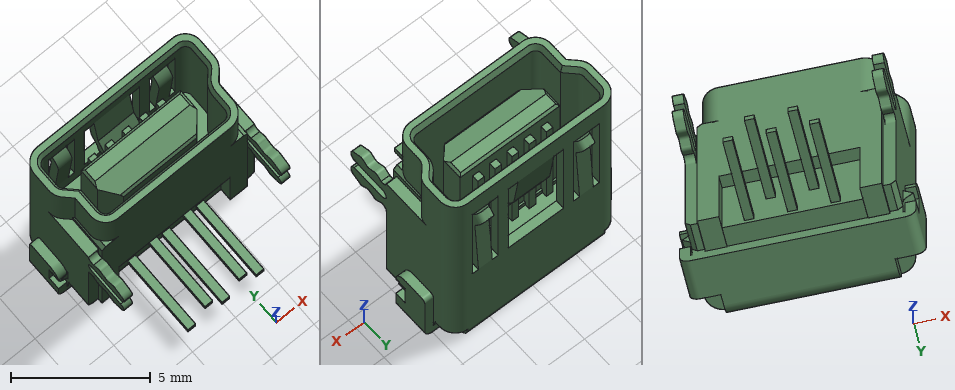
import cadquery as cq
import math


sheet = 0.4
top_z = 9.6
shell_half = 3.88
shell_neck_half = 3.34
shell_depth = 3.9
shell_bottom_z = 0.6
corner_radius = 0.71
right_neck_radius = 0.53
shoulder_y = -1.5
mouth_chamfer = 0.13
mouth_chamfer_height = 0.28
cavity_floor_z = 3.46

block_half = 3.4
block_back_y = -2.26
block_bottom_z = 0.45
block_top_z = 7.25
block_chamfer = 0.17
recess_half = 2.59
recess_top_z = 3.31
recess_depth = 0.5
core_bottom_z = 0.49

side_front_y = -3.72
side_top_z = 6.84
side_chamfer = 0.19
leg_mid_z = 5.87
leg_slot_half = 0.26

tongue_half = 2.41
tongue_corner_half = 1.74
tongue_back_y = -1.36
tongue_corner_y = -2.41
tongue_front_y = -3.17
tongue_top_z = 8.68
tongue_pad_height = 0.19
tongue_inset = 0.09
tongue_chamfer = 0.11
tongue_slope_y = -2.1
tongue_slope_drop = 0.48

pin_pitch = 0.8
pin_width = 0.36
pin_height = 0.26
pin_end_y = -6.75
pin_row_z = (0.81, 2.02)
contact_width = 0.31
contact_back_y = -1.15
contact_top_z = 8.06

window_top_z = 8.52
window_bottom_z = 4.32
spring_window_half = 1.29
spring_half = 0.84
latch_window_width = 1.19
latch_width = 0.64
latch_x = 2.35
latch_tip_y = 0.19
latch_tip_z = 7.8
latch_inner_y = -0.6
latch_lip_run = 0.24
latch_bow_height = 0.67
latch_bow_mid = (0.07, 0.32)
latch_tip_radius = 0.22

clip_half = 4.35
clip_back_y = -0.99
clip_front_y = -2.61
clip_top_z = 2.57
clip_bend_radius = 0.38
clip_front_radius = 0.52
clip_back_radius = 0.19
base_bend_radius = 0.52
bend_half = 3.21
notch_y = -2.09
notch_bottom_z = 1.0
notch_top_z = 2.01
wedge_back_y = -2.14
wedge_front_y = -2.58
wedge_top_z = 1.94
wedge_tip = (4.25, 1.62)
wedge_ramp_end = (4.03, 1.43)
wedge_hollow = (3.93, 1.31)
wedge_bottom_z = 1.13


def box(x0, x1, y0, y1, z0, z1):
    """Box between opposite corners."""
    return cq.Workplane("XY").box(x1 - x0, y1 - y0, z1 - z0, centered=False).translate((x0, y0, z0))


def both_sides(solid):
    """A solid together with its mirror image across the YZ plane."""
    return solid.union(solid.mirror("YZ"))


def half_outline(inset, z, neck_radius):
    """+X half of the mouth outline at height z, inset from the outer shell.

    neck_radius rounds the hollow corner between the sloping shoulder and the front part.
    """
    diagonal = math.sqrt(0.5)
    r = corner_radius - inset
    wide = shell_half - inset
    neck = shell_neck_half - inset
    back = -inset
    front = inset - shell_depth
    corner_gap = r * (1 - diagonal)
    turn_x = wide - corner_gap
    turn_y = shoulder_y - r * diagonal
    neck_y = turn_y - (turn_x - neck)
    half_turn = math.pi / 8
    neck_tangent = neck_radius * math.tan(half_turn)
    neck_mid = (neck + neck_radius * (1 - math.cos(half_turn)),
                neck_y - neck_tangent + neck_radius * math.sin(half_turn))
    turn_mid = (wide - r * (1 - math.cos(half_turn)), shoulder_y - r * math.sin(half_turn))
    path = (
        cq.Workplane("XY", origin=(0, 0, z))
        .moveTo(0, front)
        .lineTo(0, back)
        .lineTo(wide - r, back)
        .threePointArc((wide - corner_gap, back - corner_gap), (wide, back - r))
        .lineTo(wide, shoulder_y)
        .threePointArc(turn_mid, (turn_x, turn_y))
        .lineTo(neck + neck_tangent * diagonal, neck_y + neck_tangent * diagonal)
    )
    if neck_radius > 0:
        path = path.threePointArc(neck_mid, (neck, neck_y - neck_tangent))
    return (
        path.lineTo(neck, front + r)
        .threePointArc((neck - corner_gap, front + corner_gap), (neck - r, front))
        .close()
    )


def socket_prism(inset, z, height, taper=0):
    """Prism of the whole mouth outline; a negative taper widens it upward."""
    left = half_outline(inset, z, 0).extrude(height, taper=taper).mirror("YZ")
    right = half_outline(inset, z, right_neck_radius + inset).extrude(height, taper=taper)
    return left.union(right).clean()


def mouth_cavity():
    """Open space inside the shell, flared at the rim."""
    straight = socket_prism(sheet, cavity_floor_z, top_z - cavity_floor_z)
    flare_angle = math.degrees(math.atan2(mouth_chamfer, mouth_chamfer_height))
    flare = socket_prism(sheet, top_z - mouth_chamfer_height, mouth_chamfer_height, -flare_angle)
    return straight.union(flare)


def body():
    """Shell, lower side plates and front cover block, hollowed by the mouth and the pin recess."""
    shell = socket_prism(0, shell_bottom_z, top_z - shell_bottom_z)
    lower = box(-shell_half, shell_half, side_front_y, shoulder_y, shell_bottom_z, side_top_z)
    shell = shell.union(lower)
    edge_cut = (
        cq.Workplane("XZ", origin=(0, clip_front_y, 0))
        .polyline([
            (shell_half, shell_bottom_z),
            (shell_half - side_chamfer, shell_bottom_z),
            (shell_half, shell_bottom_z + side_chamfer),
        ])
        .close()
        .extrude(clip_front_y - side_front_y)
    )
    block = box(-block_half, block_half, -shell_depth, block_back_y, block_bottom_z, block_top_z)
    block = block.faces(">Z").edges("|Y").chamfer(block_chamfer)
    recess = box(-recess_half, recess_half, -shell_depth, recess_depth - shell_depth,
                 block_bottom_z, recess_top_z)
    underside = box(-recess_half, recess_half, -shell_depth, block_back_y, block_bottom_z, core_bottom_z)
    body_solid = shell.cut(both_sides(edge_cut)).union(block)
    return body_solid.cut(recess).cut(underside).cut(mouth_cavity())


def tongue():
    """Plug tongue standing on a low pad, with a sloping front half and bevelled rim."""
    floor = cq.Workplane("XY", origin=(0, 0, cavity_floor_z))
    outline = [
        (-tongue_half, tongue_back_y),
        (tongue_half, tongue_back_y),
        (tongue_half, tongue_corner_y),
        (tongue_corner_half, tongue_front_y),
        (-tongue_corner_half, tongue_front_y),
        (-tongue_half, tongue_corner_y),
    ]
    pad = floor.polyline(outline).close().extrude(tongue_pad_height)
    blade = (
        floor.polyline(outline)
        .close()
        .offset2D(-tongue_inset, "intersection")
        .extrude(tongue_top_z - cavity_floor_z)
        .faces(">Z")
        .edges(">Y or |Y")
        .chamfer(tongue_chamfer)
    )
    slope = (
        cq.Workplane("YZ", origin=(-tongue_half, 0, 0))
        .moveTo(tongue_slope_y, tongue_top_z)
        .lineTo(tongue_front_y, tongue_top_z - tongue_slope_drop)
        .lineTo(tongue_front_y, tongue_top_z)
        .close()
        .extrude(2 * tongue_half)
    )
    blade = blade.cut(slope)
    front_top = (0, tongue_front_y, tongue_top_z - tongue_slope_drop)
    blade = blade.edges(cq.selectors.NearestToPointSelector(front_top)).chamfer(tongue_chamfer)
    return pad.union(blade)


def contacts_and_pins():
    """Five contact strips on the back of the tongue and five pins in two staggered rows."""
    pin_root_y = recess_depth - shell_depth + sheet
    parts = cq.Workplane("XY")
    for i in range(-2, 3):
        x = i * pin_pitch
        z = pin_row_z[i % 2]
        pin = box(x - pin_width / 2, x + pin_width / 2, pin_end_y, pin_root_y,
                  z - pin_height / 2, z + pin_height / 2)
        contact = box(x - contact_width / 2, x + contact_width / 2, tongue_back_y - sheet / 2,
                      contact_back_y, cavity_floor_z, contact_top_z)
        parts = parts.union(pin).union(contact)
    return parts


def board_leg():
    """Slotted wavy board leg on the +X side; the lower half mirrors the upper half."""
    waves = [
        ((-4.2, 0.9), (-4.31, 0.94), (-4.43, 0.9)),
        ((-4.64, 0.81), (-4.71, 0.79), (-4.82, 0.82)),
        ((-5.0, 0.94), (-5.1, 0.98), (-5.18, 0.97)),
        ((-5.53, 0.82), (-5.7, 0.54), (-5.51, leg_slot_half)),
    ]
    relief_mid = (-3.79, 0.81)
    neck = (-4.0, 0.76)
    slot_y = side_front_y - leg_slot_half
    relief_height = side_top_z - leg_mid_z
    root_y = side_front_y + sheet
    upper = (
        cq.Workplane("YZ", origin=(shell_half - sheet, 0, leg_mid_z))
        .moveTo(root_y, 0)
        .lineTo(root_y, relief_height)
        .lineTo(side_front_y, relief_height)
        .threePointArc(relief_mid, neck)
    )
    for start, middle, end in waves:
        upper = upper.lineTo(*start).threePointArc(middle, end)
    upper = (
        upper.lineTo(slot_y, leg_slot_half)
        .radiusArc((side_front_y, 0), leg_slot_half)
        .close()
        .extrude(sheet)
    )
    lower = upper.mirror("XY", (0, 0, leg_mid_z))
    return upper.union(lower)


def base_and_clips():
    """Base plate bent from the back wall, with upturned wings that hook the shell."""
    back_bend = box(-bend_half, bend_half, clip_back_y, 0, 0, shell_bottom_z)
    back_bend = back_bend.edges("|X and >Y and <Z").fillet(base_bend_radius)
    riser = box(-shell_half, shell_half, clip_front_y, clip_back_y, 0, shell_bottom_z)
    wing_inner = clip_half - sheet
    cradle = box(-clip_half, clip_half, clip_front_y, clip_back_y, 0, clip_top_z)
    cradle = cradle.edges("|Y and <Z").fillet(clip_bend_radius)
    cradle = cradle.cut(box(-wing_inner, wing_inner, clip_front_y, clip_back_y, sheet, clip_top_z))
    cradle = cradle.edges("|X and >Z and <Y").fillet(clip_front_radius)
    cradle = cradle.edges("|X and >Z and >Y").fillet(clip_back_radius)
    notch = box(-clip_half, clip_half, clip_front_y, notch_y, notch_bottom_z, notch_top_z)
    return back_bend.union(riser).union(cradle.cut(notch))


def wedge():
    """Catch on the +X side wall that sits in the wing notch."""
    root_x = shell_half - sheet / 2
    return (
        cq.Workplane("XZ", origin=(0, wedge_back_y, 0))
        .moveTo(root_x, wedge_top_z)
        .lineTo(shell_half, wedge_top_z)
        .lineTo(*wedge_tip)
        .lineTo(*wedge_ramp_end)
        .threePointArc(wedge_hollow, (shell_half, wedge_bottom_z))
        .lineTo(root_x, wedge_bottom_z)
        .close()
        .extrude(wedge_back_y - wedge_front_y)
    )


def latch():
    """Spring latch on the +X side: rises from the back wall, bows inward, tips outward at 45 degrees."""
    end_run = sheet * math.sqrt(0.5)
    lip_y = latch_tip_y - end_run
    lip_z = latch_tip_z + end_run
    bend_y = lip_y - latch_lip_run
    bend_z = lip_z - latch_lip_run
    bow_mid = (latch_inner_y + latch_bow_mid[0], bend_z - latch_bow_mid[1])
    bow_z = bend_z - latch_bow_height
    strip = (
        cq.Workplane("YZ", origin=(latch_x - latch_width / 2, 0, 0))
        .moveTo(latch_tip_y, latch_tip_z)
        .lineTo(lip_y, lip_z)
        .lineTo(bend_y, bend_z)
        .threePointArc(bow_mid, (latch_inner_y, bow_z))
        .lineTo(-sheet, window_bottom_z)
        .lineTo(0, window_bottom_z)
        .lineTo(latch_inner_y + sheet, bow_z)
        .close()
        .extrude(latch_width)
    )
    tip_face = strip.faces(cq.selectors.NearestToPointSelector(
        (latch_x, latch_tip_y - end_run / 2, latch_tip_z + end_run / 2)))
    return tip_face.edges("not |X").fillet(latch_tip_radius)


def back_spring():
    """Central spring hanging from the top of its window and bowed into the mouth."""
    inner = [(-sheet, window_top_z), (-0.62, 6.91), (-0.95, 6.38), (-1.06, 5.95)]
    outer = [(-0.66, 5.86), (-0.58, 6.24), (-0.24, 6.77), (0, window_top_z)]
    return (
        cq.Workplane("YZ", origin=(-spring_half, 0, 0))
        .polyline(inner + outer)
        .close()
        .extrude(2 * spring_half)
    )


def windows():
    """Openings in the back wall for the central spring and the two latches."""
    center = box(-spring_window_half, spring_window_half, -sheet, 0, window_bottom_z, window_top_z)
    side = box(latch_x - latch_window_width / 2, latch_x + latch_window_width / 2, -sheet, 0,
               window_bottom_z, window_top_z)
    return center.union(both_sides(side))


result = (
    body()
    .cut(windows())
    .union(tongue())
    .union(contacts_and_pins())
    .union(both_sides(board_leg()))
    .union(base_and_clips())
    .union(both_sides(wedge()))
    .union(both_sides(latch()))
    .union(back_spring())
)